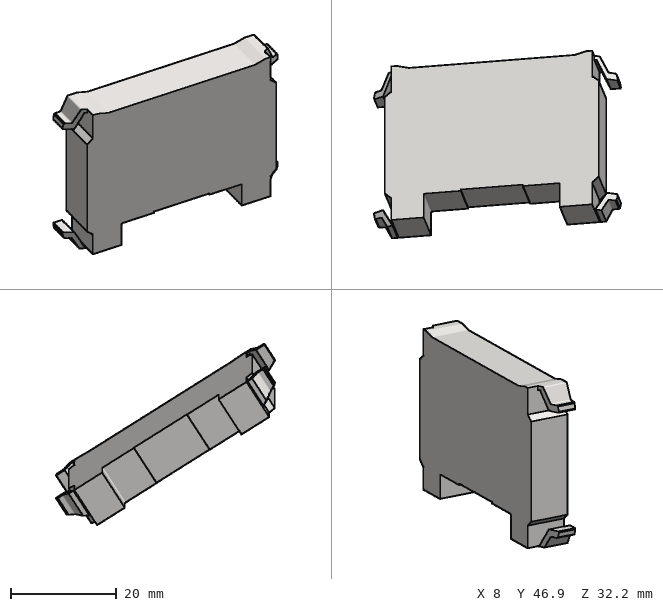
import cadquery as cq

WIDTH = 8.0
LENGTH = 46.85
HEIGHT = 32.2
HALF_LENGTH = LENGTH / 2

BODY_HALF = 20.58
NECK_HALF = 19.3
UPPER_NOTCH_END = HEIGHT - 6.37
UPPER_NECK_END = HEIGHT - 5.35
LOWER_NOTCH_END = 5.7
LOWER_NECK_END = 4.55
TOP_DIP = 0.6
DIP_START = 18.25
DIP_END = 15.95

OPENING_HALF = 13.1
OPENING_HEIGHT = 4.95
OPENING_ROUND = 0.3
RECESS_HALF = 5.95
RECESS_DEPTH = 0.3

LIP_THICKNESS = 1.4
LIP_BEND_OUTER = 21.85
LIP_BEND_INNER = 21.45
LIP_TOP_EDGE = 23.0
LIP_SHOULDER = 23.25
LIP_SHOULDER_DROP = 0.2
LIP_NOSE_RISE = 0.25
LIP_NOSE_INSET = 0.1
BEND_ROUND = 0.35
UPPER_CLIP_REACH = 4.55
UPPER_CLIP_ROOT = 20.3
UPPER_GAP_END = 19.75
UPPER_WEB = 0.85
LOWER_CLIP_REACH = 3.85
LOWER_CLIP_ROOT = BODY_HALF
LOWER_GAP_END = 19.55
LOWER_WEB = 0.1

CLIP_ROOT_WIDTH = 5.75
CLIP_TIP_WIDTH = 3.6


def extrude_profile(points):
    """Extrude a closed (Y, Z) outline across the full width."""
    return cq.Workplane("YZ").polyline(points).close().extrude(WIDTH)


def round_edge(solid, y, z, radius):
    """Round the edge running along X through the given (Y, Z) point."""
    corner = cq.selectors.NearestToPointSelector((WIDTH / 2, y, z))
    return solid.edges("|X").edges(corner).fillet(radius)


def make_housing():
    recess_top = OPENING_HEIGHT + RECESS_DEPTH
    half = [
        (RECESS_HALF, recess_top),
        (RECESS_HALF, OPENING_HEIGHT),
        (OPENING_HALF, OPENING_HEIGHT),
        (OPENING_HALF, 0),
        (NECK_HALF, 0),
        (NECK_HALF, LOWER_NECK_END),
        (BODY_HALF, LOWER_NOTCH_END),
        (BODY_HALF, UPPER_NOTCH_END),
        (NECK_HALF, UPPER_NECK_END),
        (NECK_HALF, HEIGHT),
        (DIP_START, HEIGHT),
        (DIP_END, HEIGHT - TOP_DIP),
    ]
    mirrored = [(-y, z) for y, z in reversed(half)]
    housing = extrude_profile(half + mirrored)
    for side in (1, -1):
        housing = round_edge(housing, side * OPENING_HALF, OPENING_HEIGHT, OPENING_ROUND)
    return housing


def make_hanging_clip(reach, root, gap_end, web):
    """Clip on the +Y end, starting at Z = 0 and bending down to Z = -reach."""
    lip_top = LIP_THICKNESS - reach
    outline = [
        (NECK_HALF, 0),
        (root, 0),
        (LIP_BEND_OUTER, lip_top),
        (LIP_TOP_EDGE, lip_top),
        (LIP_SHOULDER, lip_top - LIP_SHOULDER_DROP),
        (HALF_LENGTH, LIP_NOSE_RISE - reach),
        (HALF_LENGTH - LIP_NOSE_INSET, -reach),
        (LIP_BEND_INNER, -reach),
        (gap_end, -web),
        (NECK_HALF, -web),
    ]
    clip = extrude_profile(outline)
    return round_edge(clip, LIP_BEND_OUTER, lip_top, BEND_ROUND)


def make_clip_pair():
    """Upper and lower clips of the +Y end, trimmed to the tapered width."""
    upper = make_hanging_clip(UPPER_CLIP_REACH, UPPER_CLIP_ROOT, UPPER_GAP_END, UPPER_WEB)
    upper = round_edge(upper, UPPER_CLIP_ROOT, 0, BEND_ROUND).translate((0, 0, HEIGHT))
    lower = make_hanging_clip(LOWER_CLIP_REACH, LOWER_CLIP_ROOT, LOWER_GAP_END, LOWER_WEB)
    lower = lower.mirror("XY")
    taper = (
        cq.Workplane("XY")
        .polyline([
            (0, NECK_HALF),
            (CLIP_ROOT_WIDTH, NECK_HALF),
            (CLIP_TIP_WIDTH, HALF_LENGTH),
            (0, HALF_LENGTH),
        ])
        .close()
        .extrude(HEIGHT)
    )
    return upper.intersect(taper), lower.intersect(taper)


result = make_housing()
for clip in make_clip_pair():
    result = result.union(clip).union(clip.mirror("XZ"))